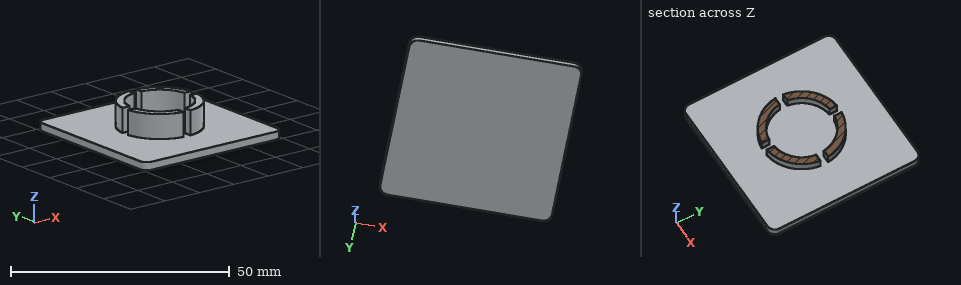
import cadquery as cq

plate_side = 40
plate_thickness = 2
corner_radius = 2

ring_outer_diameter = 20.2
ring_wall = 2
ring_inner_diameter = ring_outer_diameter - 2 * ring_wall
ring_height = 6

slot_width = 2
slot_length = 22

plate = (
    cq.Workplane("XY")
    .rect(plate_side, plate_side)
    .extrude(plate_thickness)
    .edges("|Z")
    .fillet(corner_radius)
)

plate_top = cq.Workplane("XY").workplane(offset=plate_thickness)

ring = (
    plate_top
    .circle(ring_outer_diameter / 2)
    .circle(ring_inner_diameter / 2)
    .extrude(ring_height)
)

for length_x, length_y in ((slot_length, slot_width), (slot_width, slot_length)):
    slot = plate_top.rect(length_x, length_y).extrude(ring_height)
    ring = ring.cut(slot)

result = plate.union(ring)